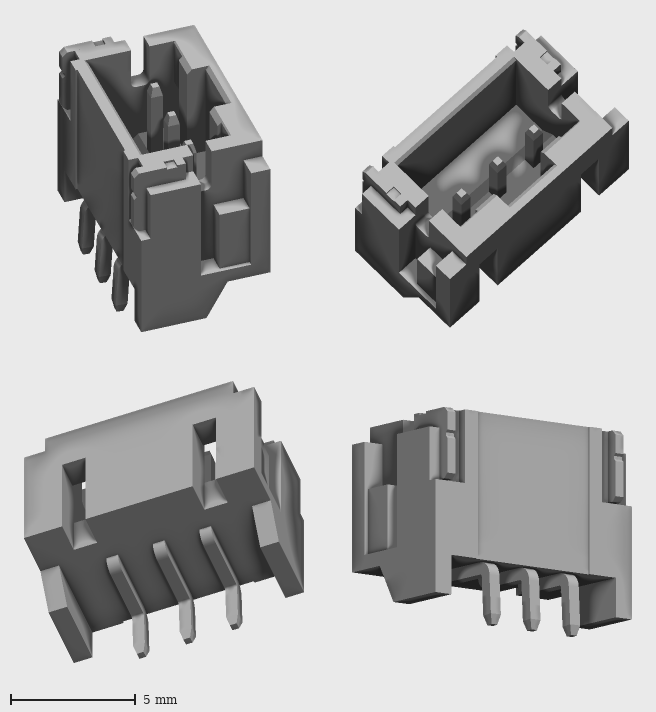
import cadquery as cq
import math


EPS = 0.1

WIDTH = 9.9
DEPTH = 5.48
HEIGHT = 6.0
BLOCK_HALF_WIDTH = 4.04
EAR_TOP_DROP = 0.8
HALF_WIDTH = WIDTH / 2
EAR_TOP = HEIGHT - EAR_TOP_DROP

FOOT_WIDTH = 0.8
FOOT_HEIGHT = 1.6
FOOT_BACK_TOP = 3.67
FOOT_BACK_BOTTOM = 2.77

FRONT_PANEL_HALF_WIDTH = 2.82
FRONT_PANEL_RELIEF = 0.08
TAB_RECESS_WIDTH = 1.49
TAB_RECESS_DEPTH = 0.4
TAB_RECESS_HEIGHT = 3.0

POCKET_FRONT = 2.53
POCKET_BACK = 4.67
POCKET_FLOOR = 0.59
RIB_DEPTH = 1.28
RIB_TOP = 3.3
RIB_SETBACK = 0.19

PIN_COUNT = 3
PIN_PITCH = 2.0
PIN_SIZE = 0.5
PIN_FRONT = 2.82
PIN_TOP_DROP = 0.95
PIN_TIP_LENGTH = 0.41
PIN_TIP_INSET = 0.11
LEG_TILT = 3.4
LEG_BEND_RADIUS = 0.6
LEG_DROP = 2.6

CAVITY_HALF_WIDTH = 3.31
CAVITY_FRONT = 0.68
CAVITY_BACK = 4.2
CAVITY_FLOOR = 1.73
FLOOR_STEP_BACK = PIN_FRONT
FLOOR_STEP_DROP = 0.62
FRONT_LEAD_IN = 0.14
BACK_LEAD_IN = 0.21
KEYWAY_HALF_WIDTH = 1.31
KEYWAY_BACK = 4.98
KEYWAY_LEAD_IN = 0.16

LATCH_INNER_X = 2.31
LATCH_SLOT_DEPTH = 0.15
LATCH_WINDOW_DROP = 2.03

NOTCH_WIDTH = 0.78
NOTCH_DEPTH = 1.9
NOTCH_RADIUS = 0.24

TAB_WIDTH = 0.41
TAB_PROTRUSION = 0.12
TAB_BACK = 2.08
TAB_LEG_DROP = 2.9
TAB_CHAMFER = 0.2
GROOVE_DEPTH = 0.1
TOP_GROOVE_FRONT = 1.28
TOP_GROOVE_WIDTH = 0.44
FRONT_GROOVE_DROP = 0.95
FRONT_GROOVE_WIDTH = 0.33


def box(x_range, y_range, z_range):
    """Box that spans the given (low, high) ranges."""
    lows, highs = zip(x_range, y_range, z_range)
    sizes = [high - low for low, high in zip(lows, highs)]
    return cq.Workplane("XY").box(*sizes, centered=False).translate(lows)


def extrude_yz(points, x_range):
    """Prism with a (y, z) outline that spans x_range."""
    x_low, x_high = x_range
    outline = cq.Workplane("YZ").workplane(offset=x_low).polyline(points).close()
    return outline.extrude(x_high - x_low)


def both_sides(shape):
    """The shape of the +X side together with its mirror image."""
    return shape.union(shape.mirror("YZ"))




def housing_shell():
    block = box((-BLOCK_HALF_WIDTH, BLOCK_HALF_WIDTH), (0, DEPTH), (0, HEIGHT))
    ears = box((BLOCK_HALF_WIDTH, HALF_WIDTH), (0, DEPTH), (0, EAR_TOP))
    foot_outline = [
        (0, 0),
        (0, -FOOT_HEIGHT),
        (FOOT_BACK_BOTTOM, -FOOT_HEIGHT),
        (FOOT_BACK_TOP, 0),
    ]
    feet = extrude_yz(foot_outline, (HALF_WIDTH - FOOT_WIDTH, HALF_WIDTH))
    return block.union(both_sides(ears)).union(both_sides(feet))


def front_cuts():
    panel = box(
        (-FRONT_PANEL_HALF_WIDTH, FRONT_PANEL_HALF_WIDTH),
        (-EPS, FRONT_PANEL_RELIEF),
        (-EPS, HEIGHT + EPS),
    )
    tab_recess = box(
        (HALF_WIDTH - TAB_RECESS_WIDTH, HALF_WIDTH + EPS),
        (-EPS, TAB_RECESS_DEPTH),
        (HEIGHT - TAB_RECESS_HEIGHT, HEIGHT + EPS),
    )
    return panel.union(both_sides(tab_recess))


def side_pockets():
    pocket = box(
        (BLOCK_HALF_WIDTH, HALF_WIDTH + EPS),
        (POCKET_FRONT, POCKET_BACK),
        (POCKET_FLOOR, HEIGHT),
    )
    rib = box(
        (BLOCK_HALF_WIDTH, HALF_WIDTH - RIB_SETBACK),
        (POCKET_BACK - RIB_DEPTH, POCKET_BACK),
        (POCKET_FLOOR, RIB_TOP),
    )
    return both_sides(pocket.cut(rib))


def cavity():
    front_floor = CAVITY_FLOOR - FLOOR_STEP_DROP
    main_outline = [
        (CAVITY_FRONT - FRONT_LEAD_IN, HEIGHT),
        (CAVITY_FRONT, HEIGHT - FRONT_LEAD_IN),
        (CAVITY_FRONT, front_floor),
        (FLOOR_STEP_BACK - FLOOR_STEP_DROP, front_floor),
        (FLOOR_STEP_BACK, CAVITY_FLOOR),
        (CAVITY_BACK, CAVITY_FLOOR),
        (CAVITY_BACK, HEIGHT - BACK_LEAD_IN),
        (CAVITY_BACK + BACK_LEAD_IN, HEIGHT),
    ]
    keyway_outline = [
        (CAVITY_BACK, CAVITY_FLOOR),
        (KEYWAY_BACK, CAVITY_FLOOR),
        (KEYWAY_BACK, HEIGHT - KEYWAY_LEAD_IN),
        (KEYWAY_BACK + KEYWAY_LEAD_IN, HEIGHT),
        (CAVITY_BACK, HEIGHT),
    ]
    main = extrude_yz(main_outline, (-CAVITY_HALF_WIDTH, CAVITY_HALF_WIDTH))
    keyway = extrude_yz(keyway_outline, (-KEYWAY_HALF_WIDTH, KEYWAY_HALF_WIDTH))
    return main.union(keyway)


def latch_pockets():
    """Slots behind the cavity, down through the base, that open into windows in the back wall."""
    x_range = (LATCH_INNER_X, CAVITY_HALF_WIDTH)
    slot = box(x_range, (CAVITY_BACK, CAVITY_BACK + LATCH_SLOT_DEPTH), (-EPS, HEIGHT))
    window = box(x_range, (CAVITY_BACK, DEPTH + EPS), (-EPS, HEIGHT - LATCH_WINDOW_DROP))
    return both_sides(slot.union(window))


def wall_notches():
    notch = box(
        (CAVITY_HALF_WIDTH, BLOCK_HALF_WIDTH),
        (POCKET_FRONT, POCKET_FRONT + NOTCH_WIDTH),
        (HEIGHT - NOTCH_DEPTH, HEIGHT + EPS),
    )
    return both_sides(notch.edges("|X and <Z").fillet(NOTCH_RADIUS))


def pin_x(index):
    return (index - (PIN_COUNT - 1) / 2) * PIN_PITCH


def pin_holes():
    holes = cq.Workplane("XY")
    for index in range(PIN_COUNT):
        x_range = (pin_x(index) - PIN_SIZE / 2, pin_x(index) + PIN_SIZE / 2)
        hole = box(x_range, (PIN_FRONT, PIN_FRONT + PIN_SIZE), (-EPS, CAVITY_FLOOR + EPS))
        holes = holes.union(hole)
    return holes


def make_housing():
    housing = housing_shell()
    for cut in (front_cuts, side_pockets, cavity, latch_pockets, wall_notches, pin_holes):
        housing = housing.cut(cut())
    return housing




def pin_tip():
    """Tapered pin end on Z = 0 that points to +Z."""
    end_size = PIN_SIZE - 2 * PIN_TIP_INSET
    return (
        cq.Workplane("XY")
        .rect(PIN_SIZE, PIN_SIZE)
        .workplane(offset=PIN_TIP_LENGTH)
        .rect(end_size, end_size)
        .loft(ruled=True)
    )


def make_pin(x):
    """Pin that rises through the floor, runs forward under the base and bends down into a leg."""
    tilt = math.radians(LEG_TILT)
    down = cq.Vector(0, -math.sin(tilt), -math.cos(tilt))
    front = cq.Vector(0, -math.cos(tilt), math.sin(tilt))
    bend_mid = cq.Vector(0, -math.sin(math.pi / 4 - tilt / 2), math.cos(math.pi / 4 - tilt / 2))
    inner_radius = LEG_BEND_RADIUS - PIN_SIZE
    leg_axis_radius = LEG_BEND_RADIUS - PIN_SIZE / 2
    end_size = PIN_SIZE - 2 * PIN_TIP_INSET

    rear_corner_rise = (leg_axis_radius - end_size / 2) * front.z
    reach = (LEG_DROP - LEG_BEND_RADIUS + rear_corner_rise) / math.cos(tilt)
    leg_length = reach - PIN_TIP_LENGTH

    leg_step = down * leg_length
    bend_y = -TAB_PROTRUSION - leg_step.y - LEG_BEND_RADIUS * front.y
    bend_center = cq.Vector(0, bend_y, -LEG_BEND_RADIUS)

    def yz(point):
        return (point.y, point.z)

    outer_start = bend_center + front * LEG_BEND_RADIUS
    inner_end = bend_center + front * inner_radius
    post_top = HEIGHT - PIN_TOP_DROP - PIN_TIP_LENGTH
    post_back = PIN_FRONT + PIN_SIZE
    heel_offset = PIN_SIZE * math.sqrt(0.5)
    profile = (
        cq.Workplane("YZ")
        .moveTo(PIN_FRONT, post_top)
        .lineTo(post_back, post_top)
        .lineTo(post_back, 0)
        .threePointArc((PIN_FRONT + heel_offset, -heel_offset), (PIN_FRONT, -PIN_SIZE))
        .lineTo(bend_y, -PIN_SIZE)
        .threePointArc(yz(bend_center + bend_mid * inner_radius), yz(inner_end))
        .lineTo(*yz(inner_end + leg_step))
        .lineTo(*yz(outer_start + leg_step))
        .lineTo(*yz(outer_start))
        .threePointArc(yz(bend_center + bend_mid * LEG_BEND_RADIUS), (bend_y, 0))
        .lineTo(PIN_FRONT, 0)
        .close()
    )
    body = profile.extrude(PIN_SIZE / 2, both=True)

    post_tip = pin_tip().translate((0, PIN_FRONT + PIN_SIZE / 2, post_top))
    leg_end = bend_center + front * leg_axis_radius + leg_step
    leg_tip = pin_tip().rotate((0, 0, 0), (1, 0, 0), 180 - LEG_TILT).translate(leg_end)
    return body.union(post_tip).union(leg_tip).translate((x, 0, 0))




def make_tab():
    """L-shaped tab on the +X side that lies on the ear and folds down into the front recess."""
    front = -TAB_PROTRUSION
    bottom = HEIGHT - TAB_LEG_DROP
    top_groove_floor = HEIGHT - GROOVE_DEPTH
    top_groove_back = TOP_GROOVE_FRONT + TOP_GROOVE_WIDTH
    front_groove_floor = front + GROOVE_DEPTH
    front_groove_top = HEIGHT - FRONT_GROOVE_DROP
    front_groove_bottom = front_groove_top - FRONT_GROOVE_WIDTH
    outline = [
        (TAB_BACK, HEIGHT),
        (top_groove_back, HEIGHT),
        (top_groove_back, top_groove_floor),
        (TOP_GROOVE_FRONT, top_groove_floor),
        (TOP_GROOVE_FRONT, HEIGHT),
        (front + TAB_CHAMFER, HEIGHT),
        (front, HEIGHT - TAB_CHAMFER),
        (front, front_groove_top),
        (front_groove_floor, front_groove_top - GROOVE_DEPTH),
        (front_groove_floor, front_groove_bottom + GROOVE_DEPTH),
        (front, front_groove_bottom),
        (front, bottom + TAB_CHAMFER),
        (front + TAB_CHAMFER, bottom),
        (TAB_RECESS_DEPTH, bottom),
        (TAB_RECESS_DEPTH, EAR_TOP),
        (TAB_BACK, EAR_TOP),
    ]
    return extrude_yz(outline, (BLOCK_HALF_WIDTH, BLOCK_HALF_WIDTH + TAB_WIDTH))


housing = make_housing()
pins = [make_pin(pin_x(index)) for index in range(PIN_COUNT)]
right_tab = make_tab()
left_tab = right_tab.mirror("YZ")
bodies = [housing, *pins, right_tab, left_tab]

result = cq.Compound.makeCompound([body.val() for body in bodies])